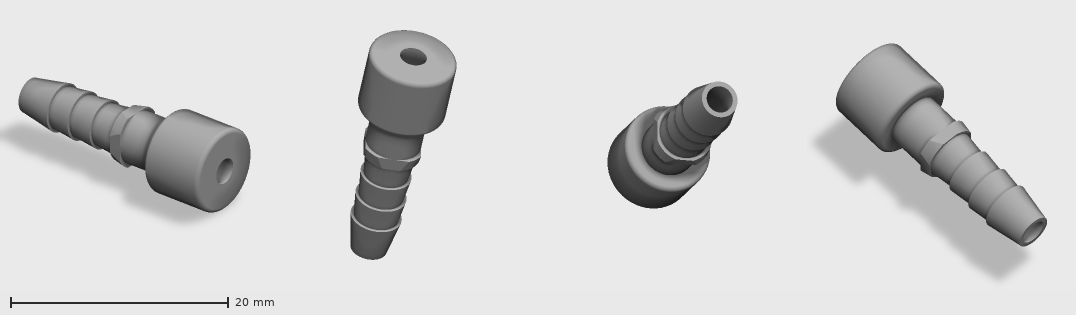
import cadquery as cq

total_length = 22.8
barb_crests = [3.85, 6.3, 8.87]
collar_start = 11.4
collar_end = 12.6
head_start = 16.5

bore_diameter = 2.5
tip_diameter = 3.42
barb_root_diameter = 4.2
barb_crest_diameter = 4.79
shank_diameter = 5.2
collar_front_diameter = 5.45
collar_back_diameter = 5.97
head_diameter = 8.2

head_edge_radius = 0.4


def cylinder(start, end, diameter):
    """Cylinder on the X axis between two X positions."""
    return cq.Workplane("YZ", origin=(start, 0, 0)).circle(diameter / 2).extrude(end - start)


def cone(start, end, start_diameter, end_diameter):
    """Truncated cone on the X axis between two X positions."""
    profile = [
        (start, 0),
        (start, start_diameter / 2),
        (end, end_diameter / 2),
        (end, 0),
    ]
    return cq.Workplane("XY").polyline(profile).close().revolve(360, (0, 0, 0), (1, 0, 0))


def barbed_stem():
    """Tapered tip followed by barbs that widen towards the collar."""
    barb_ends = barb_crests + [collar_start]
    stem = cone(0, barb_ends[0], tip_diameter, barb_crest_diameter)
    for start, end in zip(barb_ends, barb_ends[1:]):
        stem = stem.union(cone(start, end, barb_root_diameter, barb_crest_diameter))
    return stem


def collar():
    """Square collar, flush with the shank, with its corners turned to a cone."""
    square = (
        cq.Workplane("YZ", origin=(collar_start, 0, 0))
        .rect(shank_diameter, shank_diameter)
        .extrude(collar_end - collar_start)
    )
    return square.intersect(
        cone(collar_start, collar_end, collar_front_diameter, collar_back_diameter)
    )


def head():
    """Cylindrical head with both rims rounded."""
    return cylinder(head_start, total_length, head_diameter).edges().fillet(head_edge_radius)


shank = cylinder(collar_end, head_start, shank_diameter)
bore = cylinder(0, total_length, bore_diameter)

result = barbed_stem().union(collar()).union(shank).union(head()).cut(bore)